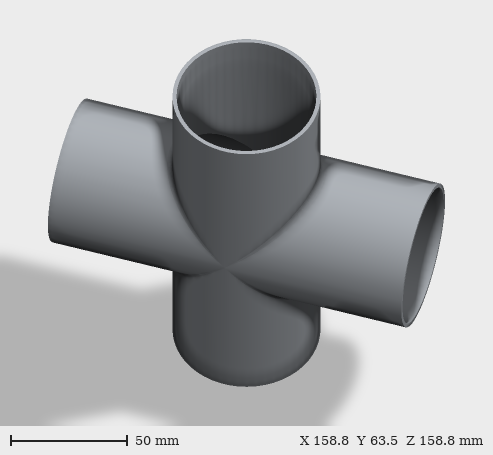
import cadquery as cq

length = 158.8
outer_diameter = 63.5
bore_diameter = 60.0
crotch_fillet = 2.5


def crossed_cylinders(diameter):
    """Two equal cylinders through the origin, one along X and one along Z."""
    x_plane = cq.Plane(origin=(0, 0, 0), xDir=(0, 1, 0), normal=(1, 0, 0))
    z_plane = cq.Plane(origin=(0, 0, 0), xDir=(0, 1, 0), normal=(0, 0, 1))
    along_x = cq.Workplane(x_plane).circle(diameter / 2).extrude(length / 2, both=True)
    along_z = cq.Workplane(z_plane).circle(diameter / 2).extrude(length / 2, both=True)
    return along_x.union(along_z)


outside = crossed_cylinders(outer_diameter)
crotch_edges = outside.edges("%ELLIPSE")
body = outside.newObject(crotch_edges.vals()).fillet(crotch_fillet)

result = body.cut(crossed_cylinders(bore_diameter))